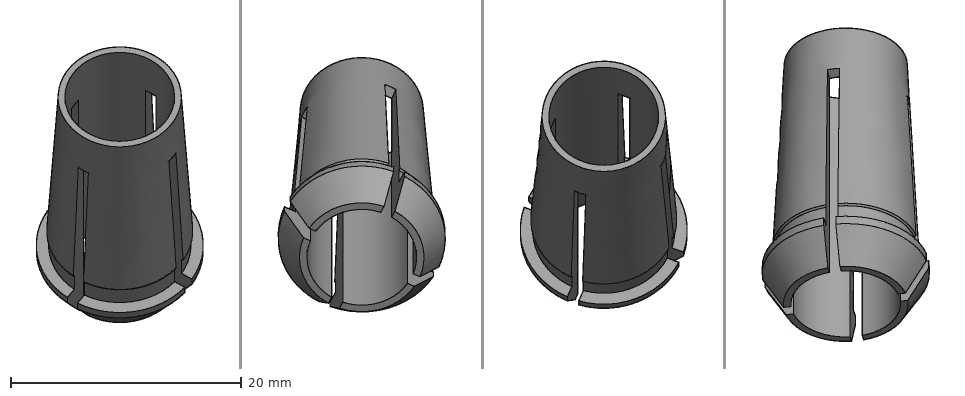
import cadquery as cq

height = 26.0
bore_radius = 4.75

nose_radius = 5.4
flange_radius = 7.25
flange_bottom = 3.25
flange_top = 4.05

neck_radius = 6.2
sleeve_bottom = 6.0
sleeve_bottom_radius = 6.35
sleeve_top_radius = 5.35
sleeve_chamfer = sleeve_bottom_radius - neck_radius

slot_width = 1.07
slot_outer_top = 21.45
slot_inner_top = 21.1
slot_outer_radius = 5.56
slot_slope = (slot_outer_top - slot_inner_top) / (slot_outer_radius - bore_radius)


def collet_body():
    """Revolve the wall section around Z."""
    return (
        cq.Workplane("XZ")
        .moveTo(bore_radius, 0)
        .lineTo(nose_radius, 0)
        .lineTo(flange_radius, flange_bottom)
        .lineTo(flange_radius, flange_top)
        .lineTo(neck_radius, flange_top)
        .lineTo(neck_radius, sleeve_bottom)
        .lineTo(sleeve_bottom_radius, sleeve_bottom + sleeve_chamfer)
        .lineTo(sleeve_top_radius, height)
        .lineTo(bore_radius, height)
        .close()
        .revolve(360, (0, 0, 0), (0, 1, 0))
    )


def cross_slot(angle):
    """Slot across the full diameter, its ends sloping down towards the axis."""
    reach = flange_radius + slot_width
    axis_top = slot_inner_top - slot_slope * bore_radius
    reach_top = axis_top + slot_slope * reach
    return (
        cq.Workplane("XZ")
        .moveTo(-reach, 0)
        .lineTo(reach, 0)
        .lineTo(reach, reach_top)
        .lineTo(0, axis_top)
        .lineTo(-reach, reach_top)
        .close()
        .extrude(slot_width / 2, both=True)
        .rotate((0, 0, 0), (0, 0, 1), angle)
    )


result = collet_body()
for slot_angle in (0, 90):
    result = result.cut(cross_slot(slot_angle))